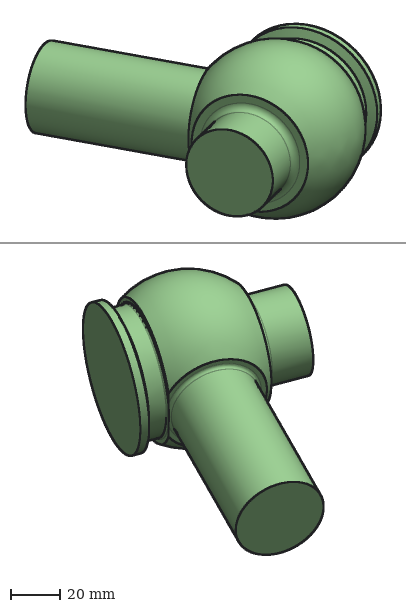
import cadquery as cq
import math

ball_radius = 36.5
side_flat = 28.4
front_flat = 26.0
back_flat = 19.6

pipe_radius = 19.1
total_length = 138.4
total_depth = 80.1
side_pipe_end = total_length - ball_radius
side_root_fillet = 1.5
front_root_fillet = 2.9

neck_radius = 28.0
neck_root_fillet = 0.8
flange_radius = 32.1
flange_rim = 3.9
flange_taper = 1.5
flange_end = 33.3
front_pipe_end = total_depth - flange_end

clip_size = 2 * total_length


def spigot(radius, flat, end, root_fillet):
    """Round stub along +Y from the centre, flaring into the flat with a concave root fillet."""
    arc_inset = root_fillet * (1 - math.sqrt(0.5))
    return (
        cq.Workplane("XY")
        .lineTo(radius + root_fillet, 0)
        .lineTo(radius + root_fillet, flat)
        .threePointArc((radius + arc_inset, flat + arc_inset), (radius, flat + root_fillet))
        .lineTo(radius, end)
        .lineTo(0, end)
        .close()
        .revolve(360, (0, 0), (0, 1))
    )


def beyond(flat):
    """Half space, as a large block, outside a flat facing +Y."""
    return cq.Workplane("XY").box(clip_size, clip_size, clip_size).translate((0, flat + clip_size / 2, 0))


def face_left(shape):
    return shape.rotate((0, 0, 0), (0, 0, 1), 90)


def face_front(shape):
    return shape.rotate((0, 0, 0), (0, 0, 1), 180)


outside_left = face_left(beyond(side_flat))
outside_front = face_front(beyond(front_flat))
outside_back = beyond(back_flat)
front_flat_radius = math.sqrt(ball_radius**2 - front_flat**2)
back_flat_radius = math.sqrt(ball_radius**2 - back_flat**2)
ball = (
    cq.Workplane("XY")
    .moveTo(0, -front_flat)
    .lineTo(front_flat_radius, -front_flat)
    .threePointArc((ball_radius, 0), (back_flat_radius, back_flat))
    .lineTo(0, back_flat)
    .close()
    .revolve(360, (0, 0), (0, 1))
    .cut(outside_left)
)

side_pipe = face_left(spigot(pipe_radius, side_flat, side_pipe_end, side_root_fillet))
side_pipe = side_pipe.intersect(outside_left).cut(outside_back)
front_pipe = face_front(spigot(pipe_radius, front_flat, front_pipe_end, front_root_fillet))
front_pipe = front_pipe.intersect(outside_front)

neck = spigot(neck_radius, back_flat, flange_end, neck_root_fillet)
neck = neck.intersect(outside_back).cut(outside_left)
rim_start = flange_end - flange_rim
flange = (
    cq.Workplane("XY")
    .moveTo(0, rim_start - flange_taper)
    .lineTo(neck_radius, rim_start - flange_taper)
    .lineTo(flange_radius, rim_start)
    .lineTo(flange_radius, flange_end)
    .lineTo(0, flange_end)
    .close()
    .revolve(360, (0, 0), (0, 1))
)

result = ball.union(side_pipe).union(front_pipe).union(neck).union(flange)